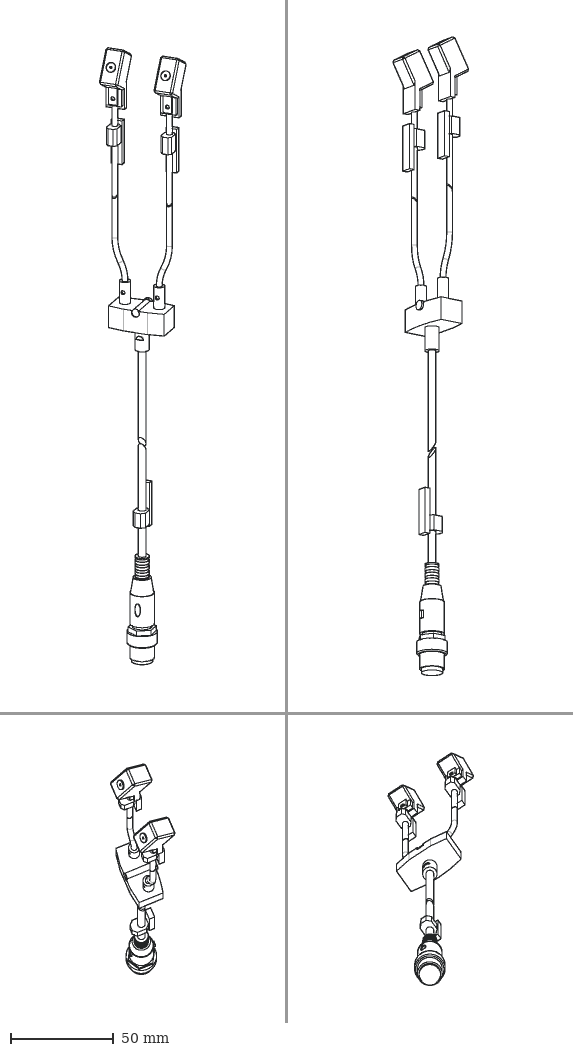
import cadquery as cq
import math


total_height = 317.0
overall_width = 38.7
plug_width = 9.8
trunk_radius = 2.0
branch_radius = 1.45
branch_x = (overall_width - plug_width) / 2
sleeve_spacing = 18.0
sleeve_x = sleeve_spacing / 2

trunk_break_z = 112.8
trunk_break_gap = 3.2
trunk_break_slope = -1.5
branch_break_z = 241.5
branch_break_gap = 0.5
branch_break_slope = 1.0

block_bottom_z = 174.3
block_top_z = 185.7
block_width = 29.5
block_half_width = block_width / 2
block_end_front_y = -7.3
block_end_back_y = 5.5
block_front_y = -8.5
block_front_half_flat = 6.3
block_back_y = 7.0
screw_z = 184.5
screw_radius = 2.0
screw_head_radius = 2.38
screw_head_height = 1.0
screw_recess_depth = 0.5
trunk_sleeve_radius = 3.5
trunk_sleeve_bottom_z = 162.5
branch_sleeve_radius = 2.7
branch_sleeve_top_z = 197.0
sleeve_hole_diameter = 2.0
sleeve_hole_z = 191.7
sleeve_mark_diameter = 3.8
sleeve_mark_z = 168.5
mark_depth = 0.5
bend_top_z = 219.0
bend_middle_z = 206.5

spigot_diameter = 10.5
spigot_radius = spigot_diameter / 2
spigot_top_z = 2.0
shell_radius = 6.0
ring_diameter = 15.0
ring_radius = ring_diameter / 2
ring_bottom_z = 9.2
ring_top_z = 15.5
ring_chamfer = 0.5
hex_corner_diameter = 14.0
hex_top_z = 18.0
neck_radius = 4.8
neck_top_z = 19.5
grip_top_z = 35.8
cone_bottom_radius = 5.7
cone_top_radius = 4.5
cone_top_z = 43.7
relief_radius = 3.5
relief_top_z = 54.8
groove_depth = 0.3
groove_height = 1.3
groove_pitch = 3.0
groove_count = 4
grip_mark_z = 28.5
grip_mark_width = 3.0
grip_mark_height = 6.5
pointer_length = 3.8
pointer_width = 2.0
pointer_height = 1.0

plug_thickness = 12.0
plug_length = 18.5
plug_tilt = 30.0
plug_chamfer = 1.0
plug_center_y = 0.75
lens_radius = 2.38
lens_height = 0.5
lens_hole_radius = 0.5
lens_offset = -0.3
stem_top_z = 301.0
stem_back_y = 3.2
stem_step_y = 0.3
stem_step_bottom_z = 288.0
stem_bottom_z = 286.2
stem_front_width = 8.2
stem_front_y = -1.5
stem_rib_front_y = -2.7
stem_rib_width = 4.5
stem_rib_bottom_z = 289.0
stem_hole_diameter = 2.0
stem_hole_z = 292.2

clip_plate_length = 22.8
clip_plate_thickness = 3.0
clip_flat_half_width = 1.43


def cylinder_z(radius, bottom_z, top_z, x=0.0):
    """Upright cylinder on the cable plane."""
    return cq.Workplane("XY", origin=(x, 0, bottom_z)).circle(radius).extrude(top_z - bottom_z)


def box_between(x_range, y_range, z_range):
    """Box given by its lower and upper limits along each axis."""
    size = [high - low for low, high in (x_range, y_range, z_range)]
    corner = (x_range[0], y_range[0], z_range[0])
    return cq.Workplane("XY").box(*size, centered=False).translate(corner)


def cable_to_break(x, radius, end_z, cut_z, slope):
    """Straight cable from a square end at end_z to an oblique cut through cut_z."""
    reach = 2 * radius
    margin = reach * abs(slope)
    low_z = min(end_z, cut_z - margin)
    high_z = max(end_z, cut_z + margin)
    kept = (
        cq.Workplane("YZ", origin=(x - reach, 0, 0))
        .polyline([
            (-reach, end_z),
            (reach, end_z),
            (reach, cut_z + slope * reach),
            (-reach, cut_z - slope * reach),
        ])
        .close()
        .extrude(2 * reach)
    )
    return cylinder_z(radius, low_z, high_z, x).intersect(kept)


def splitter_block():
    """Block with a bowed back and a front that falls away on both sides of a central flat."""
    return (
        cq.Workplane("XY", origin=(0, 0, block_bottom_z))
        .moveTo(-block_half_width, block_end_back_y)
        .lineTo(-block_half_width, block_end_front_y)
        .lineTo(-block_front_half_flat, block_front_y)
        .lineTo(block_front_half_flat, block_front_y)
        .lineTo(block_half_width, block_end_front_y)
        .lineTo(block_half_width, block_end_back_y)
        .threePointArc((0, block_back_y), (-block_half_width, block_end_back_y))
        .close()
        .extrude(block_top_z - block_bottom_z)
    )


def screw_bore():
    """Open-topped bore for the screw, along Y through the whole block."""
    plane = cq.Workplane("XZ", origin=(0, block_back_y, screw_z))
    return plane.circle(screw_radius).extrude(block_back_y - block_front_y)


def splitter_screw():
    """Fused screw along Y in the bore, with its head at the back and its tip recessed."""
    head_y = block_back_y + screw_head_height
    tip_y = block_front_y + screw_recess_depth
    plane = cq.Workplane("XZ", origin=(0, head_y, screw_z))
    shank = plane.circle(screw_radius).extrude(head_y - tip_y)
    head = plane.circle(screw_head_radius).extrude(2 * screw_head_height)
    return shank.union(head)


def branch_bend(side):
    """S-bend of two tangent arcs, rooted inside the sleeve and rising to the branch line."""
    start_x = side * sleeve_x
    end_x = side * branch_x
    middle_share = (bend_middle_z - branch_sleeve_top_z) / (bend_top_z - branch_sleeve_top_z)
    middle_x = start_x + (end_x - start_x) * middle_share
    path = (
        cq.Workplane("XZ")
        .moveTo(start_x, block_top_z)
        .lineTo(start_x, branch_sleeve_top_z)
        .tangentArcPoint((middle_x, bend_middle_z), relative=False)
        .tangentArcPoint((end_x, bend_top_z), relative=False)
    )
    return cq.Workplane("XY", origin=(start_x, 0, block_top_z)).circle(branch_radius).sweep(path)


def sleeve_hole(x):
    """Small blind hole in the front of a branch sleeve, reaching the cable."""
    plane = cq.Workplane("XZ", origin=(x, -branch_radius, sleeve_hole_z))
    return plane.circle(sleeve_hole_diameter / 2).extrude(branch_sleeve_radius)


def sleeve_mark():
    """Shallow half-round recess in the front of the trunk sleeve, flat side down."""
    radius = sleeve_mark_diameter / 2
    return (
        cq.Workplane("XZ", origin=(0, mark_depth - trunk_sleeve_radius, sleeve_mark_z))
        .moveTo(-radius, 0)
        .threePointArc((0, radius), (radius, 0))
        .close()
        .extrude(trunk_sleeve_radius)
    )


def make_splitter():
    """Splitter with its sleeves and the cable stubs that end at the breaks."""
    body = splitter_block().cut(screw_bore()).union(splitter_screw())
    body = body.union(cylinder_z(trunk_sleeve_radius, trunk_sleeve_bottom_z, block_bottom_z))
    body = body.cut(sleeve_mark())
    trunk_cut_z = trunk_break_z + trunk_break_gap / 2
    body = body.union(
        cable_to_break(0, trunk_radius, trunk_sleeve_bottom_z, trunk_cut_z, trunk_break_slope)
    )
    branch_cut_z = branch_break_z - branch_break_gap / 2
    for side in (-1, 1):
        x = side * sleeve_x
        body = body.union(cylinder_z(branch_sleeve_radius, block_top_z, branch_sleeve_top_z, x))
        body = body.cut(sleeve_hole(x))
        body = body.union(branch_bend(side))
        body = body.union(
            cable_to_break(side * branch_x, branch_radius, bend_top_z, branch_cut_z, branch_break_slope)
        )
    return body


def plug_shell():
    """Turned outside of the round plug, from the spigot up to the strain relief."""
    profile = [
        (0, 0),
        (spigot_radius, 0),
        (spigot_radius, spigot_top_z),
        (shell_radius, spigot_top_z),
        (shell_radius, ring_bottom_z),
        (ring_radius - ring_chamfer, ring_bottom_z),
        (ring_radius, ring_bottom_z + ring_chamfer),
        (ring_radius, ring_top_z),
        (neck_radius, ring_top_z),
        (neck_radius, neck_top_z),
        (shell_radius, neck_top_z),
        (shell_radius, grip_top_z),
        (cone_bottom_radius, grip_top_z),
        (cone_top_radius, cone_top_z),
        (relief_radius, cone_top_z),
        (relief_radius, relief_top_z),
        (0, relief_top_z),
    ]
    return cq.Workplane("XZ").polyline(profile).close().revolve(360, (0, 0, 0), (0, 1, 0))


def relief_groove(index):
    """One of the grooves around the strain relief, counted from its top."""
    middle_z = relief_top_z - (index + 0.5) * groove_pitch
    plane = cq.Workplane("XY", origin=(0, 0, middle_z - groove_height / 2))
    return plane.circle(relief_radius).circle(relief_radius - groove_depth).extrude(groove_height)


def grip_recess():
    """Shallow oval recess in the front of the grip."""
    plane = cq.Workplane("XZ", origin=(0, mark_depth - shell_radius, grip_mark_z))
    return plane.ellipse(grip_mark_width / 2, grip_mark_height / 2).extrude(shell_radius)


def grip_pointer():
    """Raised pointer on the back of the grip."""
    return box_between(
        (-pointer_width / 2, pointer_width / 2),
        (neck_radius, shell_radius + pointer_height),
        (grip_mark_z - pointer_length / 2, grip_mark_z + pointer_length / 2),
    )


def make_round_plug():
    """Round plug with a hexagonal nut, a ribbed strain relief and its cable stub."""
    hexagon = (
        cq.Workplane("XY", origin=(0, 0, ring_top_z))
        .polygon(6, hex_corner_diameter)
        .extrude(hex_top_z - ring_top_z)
        .rotate((0, 0, 0), (0, 0, 1), 90)
    )
    body = plug_shell().union(hexagon).union(grip_pointer()).cut(grip_recess())
    for index in range(groove_count):
        body = body.cut(relief_groove(index))
    cut_z = trunk_break_z - trunk_break_gap / 2
    return body.union(cable_to_break(0, trunk_radius, relief_top_z, cut_z, trunk_break_slope))


def plug_height():
    """Height of the tilted, chamfered plug housing."""
    tilt = math.radians(plug_tilt)
    sharp_height = plug_length * math.cos(tilt) + plug_thickness * math.sin(tilt)
    return sharp_height - 2 * plug_chamfer * math.sin(tilt)


def plug_housing():
    """Chamfered housing with a raised round lens, upright and centered on the origin."""
    block = cq.Workplane("XY").box(plug_width, plug_thickness, plug_length).edges().chamfer(plug_chamfer)
    lens = (
        cq.Workplane("XZ", origin=(0, -plug_thickness / 2, lens_offset))
        .circle(lens_radius)
        .circle(lens_hole_radius)
        .extrude(lens_height)
    )
    return block.union(lens)


def plug_stem():
    """Stem that narrows in two steps towards the front, with a blind hole in its rib."""
    stem = cq.Workplane("XY")
    steps = [
        (plug_width, stem_step_y, stem_back_y, stem_bottom_z),
        (stem_front_width, stem_front_y, stem_step_y, stem_step_bottom_z),
        (stem_rib_width, stem_rib_front_y, stem_front_y, stem_rib_bottom_z),
    ]
    for width, front_y, back_y, bottom_z in steps:
        stem = stem.union(
            box_between((-width / 2, width / 2), (front_y, back_y), (bottom_z, stem_top_z))
        )
    hole = (
        cq.Workplane("XZ", origin=(0, stem_front_y, stem_hole_z))
        .circle(stem_hole_diameter / 2)
        .extrude(stem_front_y - stem_rib_front_y)
    )
    return stem.cut(hole)


def make_angled_plug(x):
    """Tilted plug housing on a stem that holds its cable stub."""
    center_z = total_height - plug_height() / 2
    housing = (
        plug_housing()
        .rotate((0, 0, 0), (1, 0, 0), -plug_tilt)
        .translate((x, plug_center_y, center_z))
    )
    stem = plug_stem().translate((x, 0, 0))
    cut_z = branch_break_z + branch_break_gap / 2
    cable = cable_to_break(x, branch_radius, stem_step_bottom_z, cut_z, branch_break_slope)
    return housing.union(stem).union(cable)


def make_clip(x, plate_range_z, collar_range_z, plate_width, collar_width, plate_back_y,
              collar_front_y, bore_radius):
    """Flat label plate behind the cable, with a faceted collar closed around the cable."""
    plate_front_y = plate_back_y - clip_plate_thickness
    plate = box_between(
        (x - plate_width / 2, x + plate_width / 2), (plate_front_y, plate_back_y), plate_range_z
    )
    half_width = collar_width / 2
    facet = half_width - clip_flat_half_width
    collar = (
        cq.Workplane("XY", origin=(x, 0, collar_range_z[0]))
        .polyline([
            (-clip_flat_half_width, collar_front_y),
            (clip_flat_half_width, collar_front_y),
            (half_width, collar_front_y + facet),
            (half_width, plate_front_y - facet),
            (clip_flat_half_width, plate_front_y),
            (-clip_flat_half_width, plate_front_y),
            (-half_width, plate_front_y - facet),
            (-half_width, collar_front_y + facet),
        ])
        .close()
        .extrude(collar_range_z[1] - collar_range_z[0])
    )
    bore = cylinder_z(bore_radius, plate_range_z[0], plate_range_z[1], x)
    return plate.union(collar).cut(bore)


def make_branch_clip(x):
    """Label clip just below an angled plug, with its collar near the top of the plate."""
    plate_bottom_z = 256.5
    return make_clip(
        x,
        plate_range_z=(plate_bottom_z, plate_bottom_z + clip_plate_length),
        collar_range_z=(268.5, 277.3),
        plate_width=5.7,
        collar_width=5.7,
        plate_back_y=5.0,
        collar_front_y=-5.5,
        bore_radius=branch_radius,
    )


def make_trunk_clip():
    """Label clip above the round plug, with its collar near the bottom of the plate."""
    plate_bottom_z = 69.5
    return make_clip(
        0,
        plate_range_z=(plate_bottom_z, plate_bottom_z + clip_plate_length),
        collar_range_z=(71.3, 79.0),
        plate_width=5.0,
        collar_width=6.5,
        plate_back_y=6.0,
        collar_front_y=-5.5,
        bore_radius=trunk_radius,
    )


splitter = make_splitter()
round_plug = make_round_plug()
trunk_clip = make_trunk_clip()
angled_plugs = [make_angled_plug(side * branch_x) for side in (-1, 1)]
branch_clips = [make_branch_clip(side * branch_x) for side in (-1, 1)]

result = cq.Compound.makeCompound([
    splitter.val(),
    round_plug.val(),
    trunk_clip.val(),
    *[plug.val() for plug in angled_plugs],
    *[clip.val() for clip in branch_clips],
])